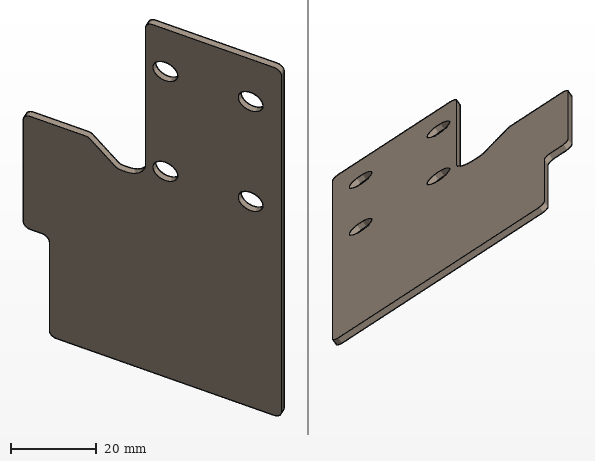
import cadquery as cq

width = 66.5
thickness = 1.6
height = 122.0

foot_inset = 6.7
ledge_height = 35.0
shoulder_height = 74.7
shoulder_length = 16.7
notch_floor = 67.1
neck_width = 35.0
neck_left = width - neck_width
notch_depth = shoulder_height - notch_floor
ramp_end = shoulder_length + notch_depth

corner_radius = 2.0
notch_radius = 5.0

hole_diameter = 6.3
hole_pitch_x = 22.0
hole_pitch_z = 35.0
first_hole_x = 36.6
first_hole_z = 72.1


def round_corners(body, corners, radius):
    """Round the edges through the thickness at the given (x, z) corners."""
    for x, z in corners:
        edge = cq.selectors.NearestToPointSelector((x, thickness / 2, z))
        body = body.edges("|Y").edges(edge).fillet(radius)
    return body


foot_corners = [(foot_inset, 0), (width, 0)]
neck_corners = [(width, height), (neck_left, height)]
notch_corner = (neck_left, notch_floor)
ramp_foot = (ramp_end, notch_floor)
ramp_top = (shoulder_length, shoulder_height)
lobe_corners = [(0, shoulder_height), (0, ledge_height), (foot_inset, ledge_height)]

outline = foot_corners + neck_corners + [notch_corner, ramp_foot, ramp_top] + lobe_corners

plate = cq.Workplane("XZ").polyline(outline).close().extrude(-thickness)
small_corners = foot_corners + neck_corners + [ramp_foot, ramp_top] + lobe_corners
plate = round_corners(plate, small_corners, corner_radius)
plate = round_corners(plate, [notch_corner], notch_radius)

hole_centers = [
    (first_hole_x + column * hole_pitch_x, first_hole_z + row * hole_pitch_z)
    for column in range(2)
    for row in range(2)
]
holes = cq.Workplane("XZ").pushPoints(hole_centers).circle(hole_diameter / 2).extrude(-thickness)

result = plate.cut(holes)